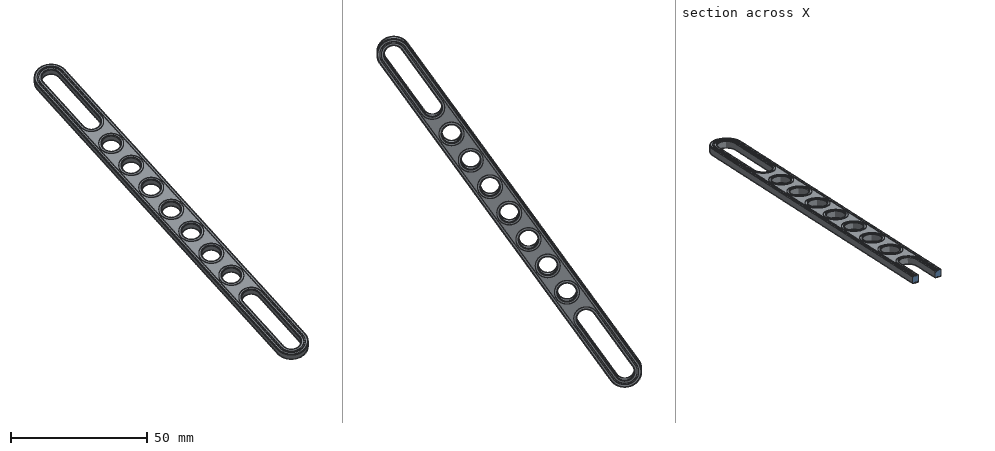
import cadquery as cq

length = 162.5
pitch_count = 13
hole_diameter = 7.0
lip_width = 1.1
recess_depth = 0.2
edge_chamfer = 0.3
round_hole_count = 7
slot_inner_position = 4
slot_outer_position = 6

pitch = length / pitch_count
width = pitch
thickness = pitch / 4
collar_diameter = hole_diameter + 2 * lip_width
slot_travel = (slot_outer_position - slot_inner_position) * pitch
slot_centre = (slot_outer_position + slot_inner_position) / 2 * pitch


def make_strap(inset, height):
    """Flat strap with round ends, its outline moved inward by the inset."""
    outline = cq.Workplane("XY").slot2D(length - 2 * inset, width - 2 * inset)
    return outline.extrude(height)


def cut_openings(body, diameter):
    """Cut the row of round holes and the two end slots, all of the same width."""
    hole_centres = cq.Workplane("XY").rarray(pitch, width, round_hole_count, 1)
    round_holes = hole_centres.circle(diameter / 2).extrude(thickness)
    slot_centres = cq.Workplane("XY").pushPoints([(-slot_centre, 0), (slot_centre, 0)])
    slots = slot_centres.slot2D(slot_travel + diameter, diameter).extrude(thickness)
    return body.cut(round_holes).cut(slots)


strap = cut_openings(make_strap(0, thickness), hole_diameter)
strap = strap.faces("<Z or >Z").chamfer(edge_chamfer)

recess = cut_openings(make_strap(lip_width, recess_depth), collar_diameter)
for recess_bottom in (0, thickness - recess_depth):
    strap = strap.cut(recess.translate((0, 0, recess_bottom)))

result = strap